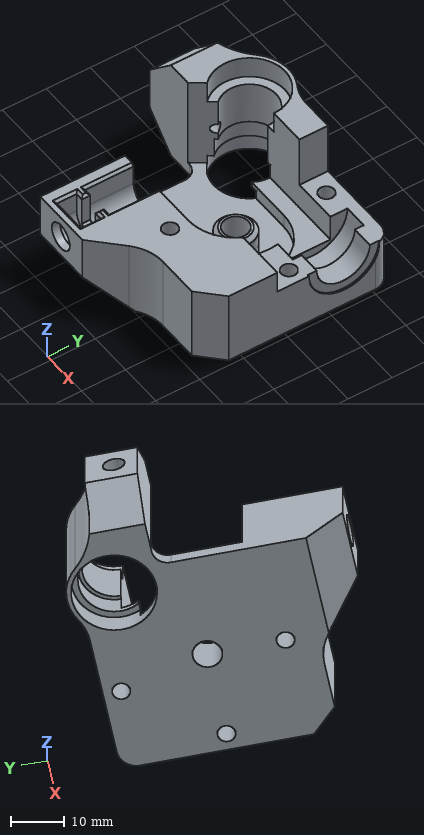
import cadquery as cq
import math

length = 58.0
tower_top = 24.0
block_top = 17.0
shelf_top = tower_top / 2
ledge_top = 6.0
floor_top = 2.9
axis_z = tower_top / 2
above = 2.9

arm_front, arm_back = 35.95, 46.05
body_left = 16.1
back_y = 51.2
chamfer = 7.0
outline_blend = 10.0
arm_blend = 15.0
inner_corner_radius = 3.0
back_corner_radius = 3.75
foot_right = 30.1
waist_y = 9.15
right_bevel = 5.0

bore_x, bore_y = 20.4, 44.65
bore_wall_radius = 9.0
bearing_radius = 16.1 / 2
lower_bore_radius = 6.8
rod_radius = 6.05
lower_seat_top = 4.75
lower_bore_top = 9.2
upper_seat_floor = 19.1
tower_right = 36.95
slant_foot_x = 12.65
slant_run_per_rise = 0.73

gear_x, gear_y = 36.95, 30.2
gear_radius = 10.9
boss_diameter = 8.6
boss_hole_diameter = 5.6
boss_top = 9.0
boss_chamfer = 0.9
shelf_front = 25.25

seat_y = 40.5
seat_start = 47.2
seat_end = 52.6
outer_rim_depth = 0.4

screw_diameter = 3.4
screw_points = [(41.5, 47.7), (54.5, gear_y), (gear_x, 15.25)]
arm_hole_diameter = 2.4
arm_counterbore_diameter = 4.2
arm_counterbore_depth = chamfer

channel_x = 22.95
channel_radius = 4.0
rim_chamfer = 0.6
end_pocket_y = (1.85, 6.3)
main_channel_front = 8.25
slot_width = 4.45
front_hole_radius = 6.0 / 2


def box(x0, x1, y0, y1, z0, z1):
    return cq.Workplane("XY").box(x1 - x0, y1 - y0, z1 - z0, centered=False).translate((x0, y0, z0))


def cylinder(x, y, radius, z0, z1):
    return cq.Workplane("XY", origin=(x, y, z0)).circle(radius).extrude(z1 - z0)


def x_cylinder(y, z, radius, x0, x1):
    return cq.Workplane("YZ", origin=(x0, y, z)).circle(radius).extrude(x1 - x0)


def y_cylinder(x, z, radius, y0, y1):
    return cq.Workplane("XZ", origin=(x, y0, z)).circle(radius).extrude(y0 - y1)


def blend_points(edge_y, side, radius):
    """Tangent and middle points of the hollow arc joining the bore wall to a straight back edge."""
    centre_y = edge_y + radius
    rise = centre_y - bore_y
    reach = math.sqrt((radius + bore_wall_radius) ** 2 - rise**2)
    centre_x = bore_x + side * reach
    wall_fraction = bore_wall_radius / (radius + bore_wall_radius)
    on_wall = (bore_x + side * reach * wall_fraction, bore_y + rise * wall_fraction)
    half_angle = math.atan2(reach, rise) / 2
    middle = (
        centre_x - side * radius * math.sin(half_angle),
        centre_y - radius * math.cos(half_angle),
    )
    return (centre_x, edge_y), middle, on_wall


def outline_solid():
    right_edge, right_middle, right_wall = blend_points(back_y, 1, outline_blend)
    left_edge, left_middle, left_wall = blend_points(arm_back, -1, arm_blend)
    solid = (
        cq.Workplane("XY")
        .moveTo(0, arm_front)
        .lineTo(body_left, arm_front)
        .lineTo(body_left, 0)
        .lineTo(foot_right, 0)
        .lineTo(foot_right + waist_y, waist_y)
        .lineTo(length - right_bevel, waist_y)
        .lineTo(length, waist_y + right_bevel)
        .lineTo(length, back_y)
        .lineTo(*right_edge)
        .threePointArc(right_middle, right_wall)
        .threePointArc((bore_x, bore_y + bore_wall_radius), left_wall)
        .threePointArc(left_middle, left_edge)
        .lineTo(0, arm_back)
        .close()
        .extrude(tower_top)
    )
    corners = (
        (body_left, arm_front, inner_corner_radius),
        (foot_right + waist_y, waist_y, outline_blend),
        (length, back_y, back_corner_radius),
    )
    for x, y, radius in corners:
        solid = solid.edges(cq.selectors.NearestToPointSelector((x, y, tower_top / 2))).fillet(radius)
    return solid


def bevel_cuts():
    arm_bevel = [(0, 0), (chamfer, 0), (0, chamfer)]
    arm_low = cq.Workplane("XZ").polyline(arm_bevel).close().extrude(-length)
    arm_high = arm_low.mirror("XY").translate((0, 0, tower_top))
    front_low = cq.Workplane("YZ").polyline(arm_bevel).close().extrude(length)
    return [arm_low, arm_high, front_low]


def level_cuts():
    """Lower the body around the tower and open the gear pocket and its ledge."""
    top = tower_top + above
    gear_front, gear_back = gear_y - gear_radius, gear_y + gear_radius
    slant_top_x = slant_foot_x + slant_run_per_rise * (bore_y - arm_front)
    slant_gear_x = slant_foot_x + slant_run_per_rise * (gear_back - arm_front)

    ledge = (
        cq.Workplane("XY", origin=(0, 0, ledge_top))
        .moveTo(slant_gear_x, gear_back)
        .lineTo(slant_top_x, bore_y)
        .lineTo(seat_start, bore_y)
        .lineTo(seat_start, gear_y)
        .lineTo(gear_x, gear_y)
        .lineTo(gear_x, gear_back)
        .close()
        .extrude(top - ledge_top)
    )
    gear_pocket = (
        cq.Workplane("XY", origin=(0, 0, floor_top))
        .moveTo(slant_foot_x, gear_front)
        .lineTo(gear_x, gear_front)
        .threePointArc((gear_x + gear_radius, gear_y), (gear_x, gear_back))
        .lineTo(slant_gear_x, gear_back)
        .lineTo(slant_foot_x, arm_front)
        .close()
        .extrude(top - floor_top)
    )
    front_block = box(body_left, length, 0, shelf_front, block_top, top)
    shelf = box(tower_right, length, shelf_front, back_y, shelf_top, top)
    return [ledge, gear_pocket, front_block, shelf]


def tower_bore_cuts():
    steps = [
        (bearing_radius, 0, lower_seat_top),
        (lower_bore_radius, lower_seat_top, lower_bore_top),
        (rod_radius, lower_bore_top, upper_seat_floor),
        (bearing_radius, upper_seat_floor, tower_top),
    ]
    return [cylinder(bore_x, bore_y, radius, z0, z1) for radius, z0, z1 in steps]


def bearing_seat_cuts():
    steps = [
        (bearing_radius, seat_start, seat_end),
        (rod_radius, seat_end, length),
        (bearing_radius, length - outer_rim_depth, length),
    ]
    return [x_cylinder(seat_y, axis_z, radius, x0, x1) for radius, x0, x1 in steps]


def screw_cuts():
    cuts = [cylinder(x, y, screw_diameter / 2, 0, tower_top) for x, y in screw_points]
    cuts.append(x_cylinder(seat_y, axis_z, arm_hole_diameter / 2, 0, bore_x))
    cuts.append(x_cylinder(seat_y, axis_z, arm_counterbore_diameter / 2, 0, arm_counterbore_depth))
    return cuts


def u_channel(y0, y1):
    """Round-bottomed channel whose upper rim is chamfered."""
    x0, x1 = channel_x - channel_radius, channel_x + channel_radius
    rim = (
        cq.Workplane("XY", origin=(channel_x, (y0 + y1) / 2, block_top))
        .rect(2 * (channel_radius + rim_chamfer), y1 - y0 + 2 * rim_chamfer)
        .extrude(-rim_chamfer, taper=45)
    )
    walls = box(x0, x1, y0, y1, axis_z, block_top)
    return y_cylinder(channel_x, axis_z, channel_radius, y0, y1).union(walls).union(rim)


def channel_cuts():
    pocket_front, pocket_back = end_pocket_y
    channel_back = gear_y - gear_radius
    x0, x1 = channel_x - slot_width / 2, channel_x + slot_width / 2
    slot_bottom = y_cylinder(channel_x, axis_z, front_hole_radius, pocket_back, main_channel_front)
    slot_bottom = slot_bottom.intersect(box(x0, x1, pocket_back, main_channel_front, 0, axis_z))
    slot_rim = (
        cq.Workplane("XZ", origin=(channel_x, pocket_back, block_top))
        .moveTo(-slot_width / 2 - rim_chamfer, 0)
        .lineTo(slot_width / 2 + rim_chamfer, 0)
        .lineTo(slot_width / 2, -rim_chamfer)
        .lineTo(-slot_width / 2, -rim_chamfer)
        .close()
        .extrude(pocket_back - main_channel_front)
    )
    return [
        u_channel(pocket_front, pocket_back),
        u_channel(main_channel_front, channel_back),
        slot_bottom,
        box(x0, x1, pocket_back, main_channel_front, axis_z, block_top),
        slot_rim,
        y_cylinder(channel_x, axis_z, front_hole_radius, 0, pocket_front),
    ]


def boss():
    return cylinder(gear_x, gear_y, boss_diameter / 2, 0, boss_top).faces(">Z").chamfer(boss_chamfer)


result = outline_solid()
cutters = bevel_cuts() + level_cuts() + tower_bore_cuts() + bearing_seat_cuts() + screw_cuts() + channel_cuts()
for cutter in cutters:
    result = result.cut(cutter)
result = result.union(boss())
result = result.cut(cylinder(gear_x, gear_y, boss_hole_diameter / 2, 0, boss_top))